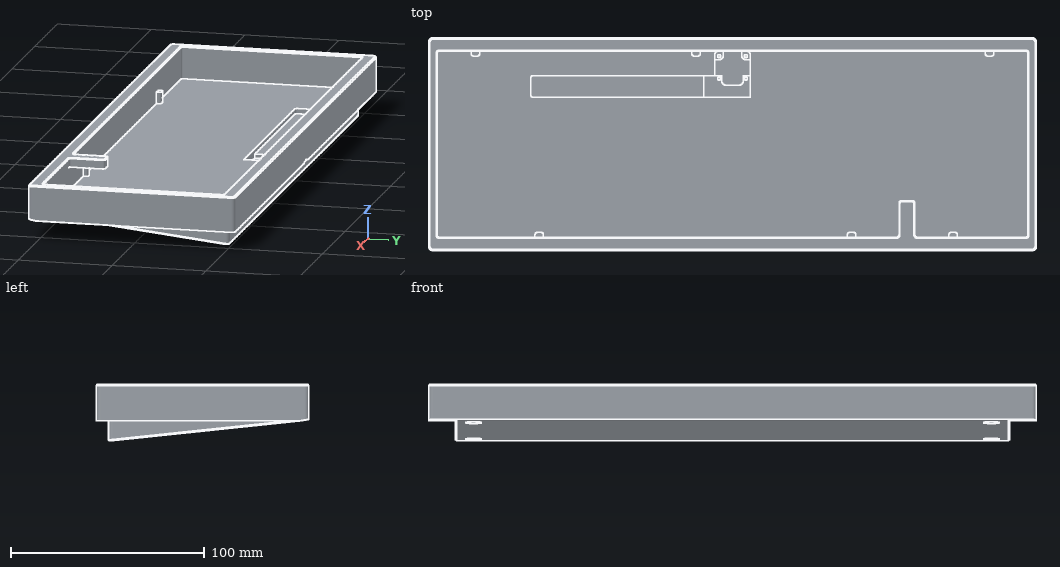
import cadquery as cq
import math

length = 314.8
width = 110.2
height = 29.3
tray_height = 19.0
corner_radius = 2.2
rim_chamfer = 0.5
end_wall = 4.5
side_wall = 7.0
cavity_depth = 17.3
cavity_corner_radius = 1.0
cavity_rim_chamfer = 0.47

top_z = height / 2
tray_bottom_z = top_z - tray_height
floor_z = top_z - cavity_depth
cavity_length = length - 2 * end_wall
cavity_width = width - 2 * side_wall
cavity_back_y = cavity_width / 2

base_length = 287.0
base_back_y = 48.8
base_corner_radius = 2.2
base_chamfer = 0.5
slope = math.radians(6)
base_drop = height - tray_height + base_chamfer * math.sin(slope)
base_front_y = base_back_y - base_drop / math.tan(slope)

front_rise = 0.8

foot_diameter = 8.2
foot_depth = 1.0
foot_x = 134.0
foot_back_y = 40.0
foot_front_y = -41.5

nub_width = 4.5
nub_reach = 2.5
nub_height = 6.0
nub_radius = 1.3
back_nub_xs = (-133.0, -19.0, 133.0)
front_nub_xs = (-100.0, 61.7, 114.3)

tab_x = 90.3
tab_width = 8.2
tab_tip_y = -29.3
tab_thickness = 5.0
tab_corner_radius = 1.3
tab_root_radius = 1.3

pocket_width = 18.3
pocket_depth = 5.0
pocket_corner_radius = 1.5
channel_left_x = -104.5
channel_front_y = 24.2
channel_back_y = 35.5
channel_depth = 2.8
channel_corner_radius = 1.3
step_x = -14.8

relief_depth = 1.3
relief_tip_y = 30.5
relief_tip_width = 11.3
relief_corner_radius = 2.5
pad_size = 4.5
pad_radius = 2.2
screw_diameter = 1.6
screw_depth = 2.5
screw_x = 7.0
screw_ys = (34.0, 45.5)

port_width = 9.0
port_height = 3.0
port_drop = 2.5


def block(x_min, x_max, y_min, y_max, z_min, z_max):
    return (
        cq.Workplane("XY")
        .box(x_max - x_min, y_max - y_min, z_max - z_min, centered=False)
        .translate((x_min, y_min, z_min))
    )


def make_tray():
    tray = block(-length / 2, length / 2, -width / 2, width / 2, tray_bottom_z, top_z)
    tray = tray.edges("|Z").fillet(corner_radius).faces(">Z").chamfer(rim_chamfer)
    return tray.cut(make_front_bevel())


def make_front_bevel():
    return (
        cq.Workplane("YZ")
        .moveTo(base_front_y, tray_bottom_z)
        .lineTo(-width / 2, tray_bottom_z + front_rise)
        .lineTo(-width / 2, tray_bottom_z)
        .close()
        .extrude(length / 2, both=True)
    )


def make_base():
    base = (
        cq.Workplane("YZ")
        .moveTo(base_front_y, tray_bottom_z)
        .lineTo(base_back_y, tray_bottom_z - base_drop)
        .lineTo(base_back_y, floor_z)
        .lineTo(base_front_y, floor_z)
        .close()
        .extrude(base_length / 2, both=True)
    )
    base = base.edges("|Z").edges(">Y").fillet(base_corner_radius)
    sloped_face = base.faces(cq.selectors.DirectionMinMaxSelector(cq.Vector(0, 0, 1), False))
    return sloped_face.edges("not(<Y)").chamfer(base_chamfer)


def make_foot_recesses():
    recesses = cq.Workplane("XY")
    normal = cq.Vector(0, math.sin(slope), math.cos(slope))
    for x in (-foot_x, foot_x):
        for y in (foot_front_y, foot_back_y):
            z = tray_bottom_z - (y - base_front_y) * math.tan(slope)
            recesses = recesses.add(
                cq.Solid.makeCylinder(foot_diameter / 2, foot_depth, cq.Vector(x, y, z), normal)
            )
    return recesses.combine()


def make_cavity():
    cavity = block(
        -cavity_length / 2, cavity_length / 2, -cavity_back_y, cavity_back_y, floor_z, top_z
    )
    return cavity.edges("|Z").fillet(cavity_corner_radius)


def make_nub(x, side):
    nub = block(
        x - nub_width / 2, x + nub_width / 2,
        cavity_back_y - nub_reach, cavity_back_y + nub_reach,
        floor_z, floor_z + nub_height,
    )
    nub = nub.edges("|Z").edges("<Y").fillet(nub_radius)
    return nub if side > 0 else nub.mirror("XZ")


def make_tab():
    tab = block(
        tab_x - tab_width / 2, tab_x + tab_width / 2,
        -cavity_back_y - side_wall / 2, tab_tip_y,
        top_z - tab_thickness, top_z,
    )
    return tab.edges("|Z").edges(">Y").fillet(tab_corner_radius)


def blend_tab_root(body):
    """Round the two inner corners between the tab and the front wall."""
    for side in (-1, 1):
        corner = (tab_x + side * tab_width / 2, -cavity_back_y, top_z - tab_thickness / 2)
        body = body.edges(cq.selectors.NearestToPointSelector(corner)).fillet(tab_root_radius)
    return body


def break_rim_edge(body):
    """Chamfer the inner edge of the rim, including the outline of the tab."""
    reach_x = cavity_length / 2 + cavity_rim_chamfer
    reach_y = cavity_back_y + cavity_rim_chamfer
    inside = cq.selectors.BoxSelector(
        (-reach_x, -reach_y, top_z - cavity_rim_chamfer),
        (reach_x, reach_y, top_z + cavity_rim_chamfer),
    )
    return body.faces(">Z").edges(inside).chamfer(cavity_rim_chamfer)


def make_channel():
    channel = block(
        channel_left_x, step_x, channel_front_y, channel_back_y, floor_z - channel_depth, floor_z
    )
    return channel.edges("|Z").edges("<X").fillet(channel_corner_radius)


def make_pocket():
    pocket_z = floor_z - pocket_depth
    half = pocket_width / 2
    board = block(-half, half, channel_front_y, cavity_back_y, pocket_z, floor_z)
    board = board.edges("|Z").edges(">Y").fillet(pocket_corner_radius)
    entry = block(step_x, half, channel_front_y, channel_back_y, pocket_z, floor_z)
    return board.union(entry)


def make_relief():
    relief_z = floor_z - pocket_depth - relief_depth
    pocket_z = floor_z - pocket_depth
    half = pocket_width / 2
    relief = block(-half, half, channel_back_y, cavity_back_y, relief_z, pocket_z)
    for side in (-1, 1):
        x_min, x_max = sorted((side * half, side * (half - pad_size)))
        pad = block(x_min, x_max, cavity_back_y - pad_size, cavity_back_y, relief_z, pocket_z)
        inner = "<X" if side > 0 else ">X"
        relief = relief.cut(pad.edges("|Z").edges("<Y").edges(inner).fillet(pad_radius))
    tip = block(
        -relief_tip_width / 2, relief_tip_width / 2,
        relief_tip_y, channel_back_y,
        relief_z, pocket_z,
    )
    return relief.union(tip.edges("|Z").edges("<Y").fillet(relief_corner_radius))


def make_screw_holes():
    points = [(side * screw_x, y) for side in (-1, 1) for y in screw_ys]
    return (
        cq.Workplane("XY", origin=(0, 0, floor_z - pocket_depth - screw_depth))
        .pushPoints(points)
        .circle(screw_diameter / 2)
        .extrude(screw_depth)
    )


def make_port():
    return (
        cq.Workplane("XZ", origin=(0, width / 2, floor_z - port_drop))
        .slot2D(port_width, port_height)
        .extrude(width / 2 - cavity_back_y)
    )


result = make_tray().union(make_base())
result = result.cut(make_foot_recesses()).cut(make_cavity()).union(make_tab())
result = break_rim_edge(blend_tab_root(result))
for nub_x in back_nub_xs:
    result = result.union(make_nub(nub_x, 1))
for nub_x in front_nub_xs:
    result = result.union(make_nub(nub_x, -1))
result = result.cut(make_channel()).cut(make_pocket()).cut(make_relief())
result = result.cut(make_screw_holes()).cut(make_port())